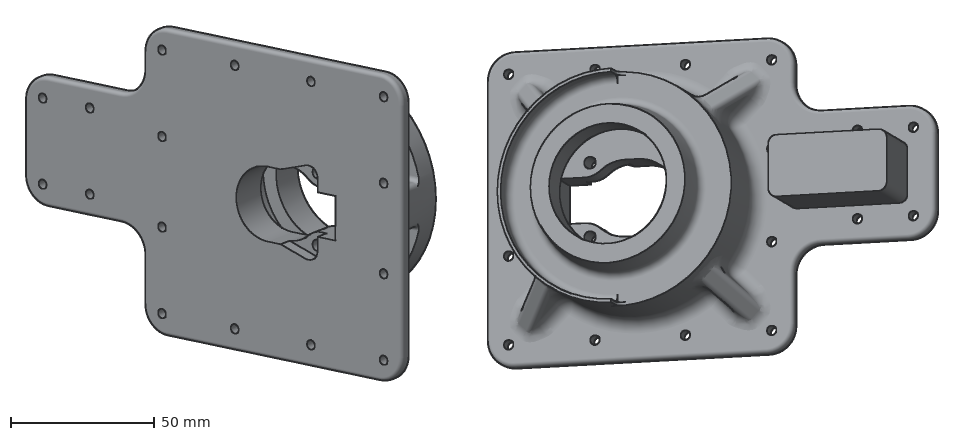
import cadquery as cq
import math


plate_size = 112.0
plate_thickness = 5.0
plate_corner_radius = 10.0
plate_edge_radius = 1.5
tab_length = 51.7
tab_width = 47.4
tab_center_z = 5.65

screw_hole_diameter = 3.4
screw_hole_inset = 8.0
inner_screw_offset = 16.5
tab_screw_spacing_x = 20.4

block_size_x = 43.2
block_size_z = 21.9
block_top_y = 30.0
block_center_x = -76.0
block_corner_radius = 3.0

drum_radius = 41.5
ledge_y = 32.0
wall_top_y = 39.8
wall_thickness = 1.2
ledge_fillet_radius = 2.8

collar_top_y = 43.8
collar_lip_radius = 28.2
collar_lip_height = 1.0
collar_taper_angle = 10.0

gusset_thickness = 8.0
gusset_height = 20.0
gusset_first_angle = 45.0
gusset_count = 4
root_fillet_radius = 5.0
gusset_edge_radius = 2.2

bore_radius = 21.4
cavity_radius = 27.0
cavity_floor_y = 14.5
cavity_roof_y = 31.1
window_half_width = 20.8

post_root_radius = 1.8
post_edge_radius = 2.0

opening_radius = 13.65
opening_round_x = -2.2
neck_bend_x = 2.6
neck_start_x = 17.3
outer_bend_share = 0.6
neck_half_width = 8.1
neck_end_x = 27.1

ear_hole_x = 15.4
ear_hole_z = 13.2
ear_hole_radius = 2.1
ear_radius = 4.0
ear_start_x = 3.4
ear_depth = 5.3

half_plate = plate_size / 2
buried_ledge_y = (ledge_y + cavity_roof_y) / 2


def plane_at(y):
    """Sketch plane parallel to XZ at the given y, with local axes along X and Z."""
    return cq.Plane(origin=(0, y, 0), xDir=(1, 0, 0), normal=(0, -1, 0))


def sketch_at(y):
    return cq.Workplane(plane_at(y))


def cylinder(radius, y_start, y_end):
    return sketch_at(y_start).circle(radius).extrude(y_start - y_end)


def box(x_range, y_range, z_range):
    size = [high - low for low, high in (x_range, y_range, z_range)]
    corner = (x_range[0], y_range[0], z_range[0])
    return cq.Workplane("XY").box(*size, centered=False).translate(corner)


def make_plate():
    tab_left_x = -half_plate - tab_length
    tab_low_z = tab_center_z - tab_width / 2
    tab_high_z = tab_center_z + tab_width / 2
    outline = [
        (half_plate, -half_plate),
        (half_plate, half_plate),
        (-half_plate, half_plate),
        (-half_plate, tab_high_z),
        (tab_left_x, tab_high_z),
        (tab_left_x, tab_low_z),
        (-half_plate, tab_low_z),
        (-half_plate, -half_plate),
    ]
    plate = sketch_at(0).polyline(outline).close().extrude(-plate_thickness)
    plate = plate.edges("|Y").fillet(plate_corner_radius)
    return plate.faces("<Y or >Y").edges().fillet(plate_edge_radius)


def is_slope_edge(edge):
    """True for the long edges that run down the slope of a gusset."""
    bounds = edge.BoundingBox()
    return min(bounds.xlen, bounds.ylen) > gusset_height


def make_gusset(angle):
    """Triangular rib, buried in the drum and the plate, with its two sloping edges rounded."""
    inner_radius = drum_radius - root_fillet_radius
    foot_radius = drum_radius + gusset_height
    buried_y = plate_thickness / 2
    profile = [
        (inner_radius, buried_y),
        (foot_radius + plate_thickness - buried_y, buried_y),
        (inner_radius, plate_thickness + foot_radius - inner_radius),
    ]
    rib = cq.Workplane("XY").polyline(profile).close().extrude(gusset_thickness / 2, both=True)
    slope_edges = [edge for edge in rib.edges("#Z").vals() if is_slope_edge(edge)]
    rib = rib.newObject(slope_edges).fillet(gusset_edge_radius)
    return rib.rotate((0, 0, 0), (0, 1, 0), angle)


def is_root_edge(edge):
    """True for edges where the drum, the gussets and the plate meet."""
    bounds = edge.BoundingBox()
    tolerance = 0.01
    if bounds.ymin < plate_thickness - tolerance:
        return False
    if bounds.ymax > (plate_thickness + gusset_height + ledge_y) / 2:
        return False
    foot_radius = math.hypot(drum_radius + gusset_height, gusset_thickness / 2)
    points = [edge.positionAt(t) for t in (0, 0.5, 1)]
    radii = [math.hypot(point.x, point.z) for point in points]
    on_plate = bounds.ylen < tolerance and max(radii) < foot_radius + tolerance
    on_drum = all(abs(radius - drum_radius) < tolerance for radius in radii)
    return on_plate or on_drum


def make_body():
    body = make_plate().union(cylinder(drum_radius, plate_thickness / 2, ledge_y))
    for index in range(gusset_count):
        body = body.union(make_gusset(gusset_first_angle + index * 360 / gusset_count))
    root_edges = [edge for edge in body.edges().vals() if is_root_edge(edge)]
    return body.newObject(root_edges).fillet(root_fillet_radius)


def make_block():
    block = sketch_at(plate_thickness / 2).center(block_center_x, tab_center_z)
    block = block.rect(block_size_x, block_size_z).extrude(plate_thickness / 2 - block_top_y)
    return block.edges("|Y").fillet(block_corner_radius)


def revolve_profile(sketch, angle):
    """Close a sketch of radius against height and turn it about the drum axis."""
    return sketch.close().revolve(angle, (0, 0, 0), (0, 1, 0))


def arc_point(center_x, center_y, angle):
    """Point on a ledge fillet arc at an angle in degrees."""
    turn = math.radians(angle)
    return (
        center_x + ledge_fillet_radius * math.cos(turn),
        center_y + ledge_fillet_radius * math.sin(turn),
    )


def make_raised_wall():
    """Half ring with a filleted root on its inner side and at its two ends."""
    inner_radius = drum_radius - wall_thickness
    fillet_x = inner_radius - ledge_fillet_radius
    fillet_y = ledge_y + ledge_fillet_radius
    profile = (
        cq.Workplane("XY")
        .moveTo(fillet_x, buried_ledge_y)
        .lineTo(fillet_x, ledge_y)
        .threePointArc(arc_point(fillet_x, fillet_y, -45), (inner_radius, fillet_y))
        .lineTo(inner_radius, wall_top_y)
        .lineTo(drum_radius, wall_top_y)
        .lineTo(drum_radius, buried_ledge_y)
    )
    wall = revolve_profile(profile, 180).rotate((0, 0, 0), (0, 1, 0), -90)

    reach = 2 * drum_radius
    toe_profile = (
        cq.Workplane("XY", origin=(0, 0, -reach))
        .moveTo(-ledge_fillet_radius, buried_ledge_y)
        .lineTo(-ledge_fillet_radius, ledge_y)
        .threePointArc(arc_point(-ledge_fillet_radius, fillet_y, -45), (0, fillet_y))
        .lineTo(0, buried_ledge_y)
        .close()
    )
    ring = cylinder(drum_radius, buried_ledge_y, fillet_y)
    ring = ring.cut(cylinder(inner_radius, buried_ledge_y, fillet_y))
    return wall.union(toe_profile.extrude(2 * reach).intersect(ring))


def make_collar():
    """Tapered collar with a filleted root and a short straight lip."""
    cone_top_y = collar_top_y - collar_lip_height
    taper = math.radians(collar_taper_angle)
    base_radius = collar_lip_radius + (cone_top_y - ledge_y) * math.tan(taper)
    fillet_x = base_radius + ledge_fillet_radius * math.tan(math.pi / 4 - taper / 2)
    fillet_y = ledge_y + ledge_fillet_radius
    profile = (
        cq.Workplane("XY")
        .moveTo(0, buried_ledge_y)
        .lineTo(fillet_x, buried_ledge_y)
        .lineTo(fillet_x, ledge_y)
        .threePointArc(
            arc_point(fillet_x, fillet_y, 225 + collar_taper_angle / 2),
            arc_point(fillet_x, fillet_y, 180 + collar_taper_angle),
        )
        .lineTo(collar_lip_radius, cone_top_y)
        .lineTo(collar_lip_radius, collar_top_y)
        .lineTo(0, collar_top_y)
    )
    return revolve_profile(profile, 360)


def is_post_root(edge):
    """True for edges where the post meets the cavity floor or roof."""
    middle = edge.Center()
    return abs(middle.z) < neck_half_width + post_edge_radius


def make_cavity():
    """Round space under the ledge, opened to +X by a window that a post splits in two."""
    y_range = (cavity_floor_y, cavity_roof_y)
    reach = 2 * drum_radius
    window = box((0, reach), y_range, (-window_half_width, window_half_width))
    cavity = cylinder(cavity_radius, *y_range).union(window)
    post = box((0, reach), y_range, (-neck_half_width, neck_half_width))
    post = post.intersect(cylinder(drum_radius, *y_range))
    post = post.edges("|Y").edges(">Z or <Z").fillet(post_edge_radius)
    cavity = cavity.cut(post.cut(box((0, neck_end_x), y_range, (-reach, reach))))
    root_edges = [edge for edge in cavity.edges("|X").vals() if is_post_root(edge)]
    return cavity.newObject(root_edges).fillet(post_root_radius)


def make_neck_half(side):
    """Half of the opening on the +Z (side = 1) or -Z (side = -1) side of the axis."""
    run = neck_start_x - neck_bend_x
    drop = opening_radius - neck_half_width
    arc_angle = 2 * math.atan2(drop, run)
    meet_x = neck_bend_x + outer_bend_share * run
    meet_z = opening_radius - outer_bend_share * drop
    outer_bend_radius = outer_bend_share * run / math.sin(arc_angle)
    inner_bend_radius = (1 - outer_bend_share) * run / math.sin(arc_angle)
    mid_across = math.sin(arc_angle / 2)
    mid_down = 1 - math.cos(arc_angle / 2)
    outer_mid_x = neck_bend_x + outer_bend_radius * mid_across
    outer_mid_z = opening_radius - outer_bend_radius * mid_down
    inner_mid_x = neck_start_x - inner_bend_radius * mid_across
    inner_mid_z = neck_half_width + inner_bend_radius * mid_down
    diagonal = opening_radius * math.sqrt(0.5)
    half = (
        sketch_at(0)
        .moveTo(opening_round_x - opening_radius, 0)
        .threePointArc(
            (opening_round_x - diagonal, side * diagonal),
            (opening_round_x, side * opening_radius),
        )
        .lineTo(neck_bend_x, side * opening_radius)
        .threePointArc((outer_mid_x, side * outer_mid_z), (meet_x, side * meet_z))
        .threePointArc((inner_mid_x, side * inner_mid_z), (neck_start_x, side * neck_half_width))
        .lineTo(neck_end_x, side * neck_half_width)
        .lineTo(neck_end_x, 0)
        .close()
    )
    return half.extrude(-cavity_floor_y)


def make_ear(side):
    """Shallow pocket around an ear hole, and the hole down to the cavity."""
    start_to_hole_x = ear_hole_x - ear_start_x
    start_to_hole_z = ear_hole_z - opening_radius
    distance = math.hypot(start_to_hole_x, start_to_hole_z)
    edge_angle = math.atan2(start_to_hole_z, start_to_hole_x) + math.asin(ear_radius / distance)
    tangent_x = ear_hole_x - ear_radius * math.sin(edge_angle)
    tangent_z = ear_hole_z + ear_radius * math.cos(edge_angle)
    diagonal = ear_radius * math.sqrt(0.5)
    ear = (
        sketch_at(0)
        .moveTo(ear_start_x, side * opening_radius)
        .lineTo(tangent_x, side * tangent_z)
        .threePointArc(
            (ear_hole_x + diagonal, side * (ear_hole_z + diagonal)),
            (ear_hole_x + ear_radius, side * ear_hole_z),
        )
        .lineTo(ear_hole_x + ear_radius, 0)
        .lineTo(ear_start_x, 0)
        .close()
        .extrude(-ear_depth)
    )
    hole = sketch_at(0).center(ear_hole_x, side * ear_hole_z).circle(ear_hole_radius)
    return ear.union(hole.extrude(-cavity_floor_y))


def make_screw_holes():
    outer = half_plate - screw_hole_inset
    rows = (-outer, -inner_screw_offset, inner_screw_offset, outer)
    points = [(x, z) for x in rows for z in rows if outer in (abs(x), abs(z))]
    tab_outer_x = -half_plate - tab_length + screw_hole_inset
    tab_offset_z = tab_width / 2 - screw_hole_inset
    for x in (tab_outer_x, tab_outer_x + tab_screw_spacing_x):
        points.append((x, tab_center_z - tab_offset_z))
        points.append((x, tab_center_z + tab_offset_z))
    holes = sketch_at(0).pushPoints(points).circle(screw_hole_diameter / 2)
    return holes.extrude(-plate_thickness)


body = make_body()
body = body.union(make_raised_wall()).union(make_collar())
body = body.union(make_block())
body = body.cut(make_cavity())
body = body.cut(cylinder(bore_radius, cavity_floor_y, collar_top_y))
for side in (1, -1):
    body = body.cut(make_neck_half(side)).cut(make_ear(side))
body = body.cut(make_screw_holes())
result = body